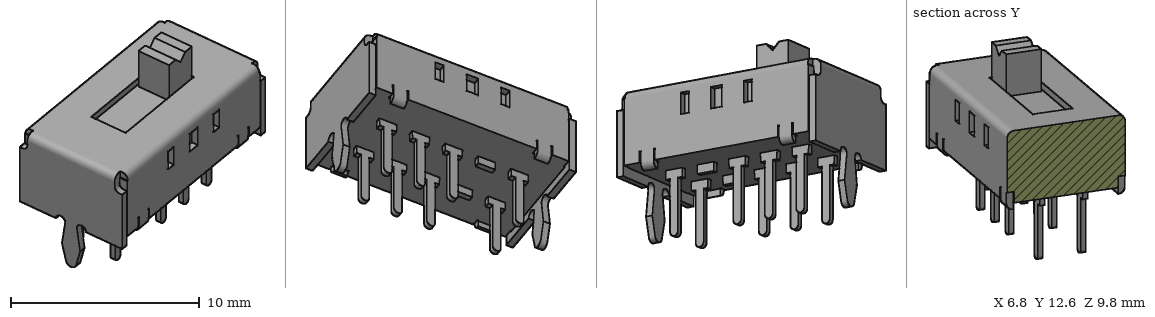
import cadquery as cq


cover_width = 6.8
cover_length = 12.6
cover_height = 4.7
overall_height = 9.8
sheet = 0.4
half_width = cover_width / 2
half_length = cover_length / 2
inner_half_width = half_width - sheet
inner_half_length = half_length - sheet
side_wall_bottom = 0.58

relief_size = 0.5
relief_depth = 1.03
relief_radius = 0.33
wall_gap = 0.05

pitch = 2.0

slot_width = 2.28
slot_length = 6.0
slider_width = 2.03
slider_length = 2.0
slider_height = 1.99
groove_depth = 0.42
slider_y = (slot_length - slider_length) / 2

window_height = 1.2
window_top_gap = 0.67
window_widths = {-pitch: 0.52, 0: 0.72, pitch: 0.52}

tab_width = 0.82
tab_bend_radius = 0.38
tab_y = 4.38
slit_width = 0.08
slit_height = 0.63

scallop_radius = 0.3
peg_neck = 0.39
peg_belly = 0.6
peg_tip = 0.35
belly_z = -1.49
tip_z = -2.48
peg_bottom = -2.81

row_x = 1.23
foot_y = [-2 * pitch, -pitch, 0, pitch, 2 * pitch]
pin_y = [-2 * pitch, 0, pitch, 2 * pitch]
foot_top_width = 1.06
foot_bottom_width = 1.02
foot_bottom = 0.08
pin_width = 0.5
pin_thickness = 0.3
pin_bottom = cover_height + slider_height - overall_height


def block(x0, x1, y0, y1, z0, z1):
    """Box between two corners, given as a range along each axis."""
    return cq.Workplane("XY").box(x1 - x0, y1 - y0, z1 - z0, centered=False).translate((x0, y0, z0))


def mirrored_x(shape):
    return shape.union(shape.mirror("YZ"))


def mirrored_y(shape):
    return shape.union(shape.mirror("XZ"))


def make_housing():
    """Cover and base as one block: rounded top edges, raised side walls, corner reliefs."""
    body = (
        cq.Workplane("XY")
        .rect(cover_width, cover_length)
        .extrude(cover_height)
        .faces(">Z")
        .edges()
        .fillet(sheet)
    )
    body = body.cut(
        cq.Workplane("XY").rect(cover_width, cover_length - 2 * sheet).extrude(side_wall_bottom)
    )

    bend_relief = block(
        half_width - relief_size, half_width,
        half_length - relief_size, half_length,
        cover_height - sheet, cover_height,
    )
    end_wall_relief = (
        block(
            half_width - relief_size, half_width,
            inner_half_length, half_length,
            cover_height - relief_depth, cover_height,
        )
        .edges("|Y and <X and <Z")
        .fillet(relief_radius)
    )
    side_gap = block(
        half_width - relief_size, half_width,
        inner_half_length - wall_gap, inner_half_length,
        0, cover_height - sheet,
    )
    corner = bend_relief.union(end_wall_relief).union(side_gap)
    return body.cut(mirrored_y(mirrored_x(corner)))


def make_slot():
    return (
        cq.Workplane("XY", origin=(0, 0, cover_height - sheet))
        .rect(slot_width, slot_length)
        .extrude(sheet)
    )


def make_slider():
    """Slider knob at the +Y end of its slot, with a 90 degree groove across the top."""
    top = cover_height + slider_height
    half = slider_length / 2
    return (
        cq.Workplane("YZ", origin=(0, slider_y, 0))
        .moveTo(-half, cover_height - sheet)
        .lineTo(half, cover_height - sheet)
        .lineTo(half, top)
        .lineTo(groove_depth, top)
        .lineTo(0, top - groove_depth)
        .lineTo(-groove_depth, top)
        .lineTo(-half, top)
        .close()
        .extrude(slider_width / 2, both=True)
    )


def make_windows():
    top = cover_height - window_top_gap
    windows = cq.Workplane("XY")
    for y, width in window_widths.items():
        windows = windows.union(
            block(-half_width, -inner_half_width, y - width / 2, y + width / 2, top - window_height, top)
        )
    return mirrored_x(windows)


def make_tabs():
    """Tabs curled inwards by a quarter turn below the side walls."""
    inner_edge = tab_bend_radius - half_width
    tab = (
        cq.Workplane("XZ", origin=(0, tab_y + tab_width / 2, 0))
        .moveTo(-half_width, side_wall_bottom)
        .radiusArc((inner_edge, side_wall_bottom - tab_bend_radius), -tab_bend_radius)
        .lineTo(inner_edge, side_wall_bottom)
        .close()
        .extrude(tab_width)
    )
    return mirrored_y(mirrored_x(tab))


def make_tab_slits():
    slits = cq.Workplane("XY")
    slit_offset = (tab_width + slit_width) / 2
    for y in (tab_y - slit_offset, tab_y + slit_offset):
        slits = slits.union(
            block(
                -half_width, -inner_half_width,
                y - slit_width / 2, y + slit_width / 2,
                side_wall_bottom, side_wall_bottom + slit_height,
            )
        )
    return mirrored_y(mirrored_x(slits))


def make_pegs():
    peg = (
        cq.Workplane("XZ", origin=(0, half_length, 0))
        .moveTo(-peg_neck, 0)
        .lineTo(-peg_belly, belly_z)
        .lineTo(-peg_tip, tip_z)
        .threePointArc((0, peg_bottom), (peg_tip, tip_z))
        .lineTo(peg_belly, belly_z)
        .lineTo(peg_neck, 0)
        .close()
        .extrude(sheet)
    )
    return mirrored_y(peg)


def make_scallops():
    """Half-round reliefs on both sides of each peg."""
    scallop_x = peg_neck + scallop_radius
    scallops = (
        cq.Workplane("XZ", origin=(0, half_length, 0))
        .pushPoints([(-scallop_x, 0), (scallop_x, 0)])
        .circle(scallop_radius)
        .extrude(sheet)
    )
    return mirrored_y(scallops)


def make_feet():
    """Tapered shoulders under the base, one at each pin place, as thick as the pins."""
    feet = cq.Workplane("XY")
    for y in foot_y:
        foot = (
            cq.Workplane("YZ", origin=(row_x, y, 0))
            .moveTo(-foot_top_width / 2, side_wall_bottom)
            .lineTo(-foot_bottom_width / 2, foot_bottom)
            .lineTo(foot_bottom_width / 2, foot_bottom)
            .lineTo(foot_top_width / 2, side_wall_bottom)
            .close()
            .extrude(pin_thickness / 2, both=True)
        )
        feet = feet.union(foot)
    return mirrored_x(feet)


def make_pins():
    """Flat pins with fully rounded tips, in two rows."""
    pin_radius = pin_width / 2
    pins = cq.Workplane("XY")
    for y in pin_y:
        pin = (
            cq.Workplane("YZ", origin=(row_x, y, 0))
            .moveTo(-pin_radius, foot_bottom)
            .lineTo(-pin_radius, pin_bottom + pin_radius)
            .threePointArc((0, pin_bottom), (pin_radius, pin_bottom + pin_radius))
            .lineTo(pin_radius, foot_bottom)
            .close()
            .extrude(pin_thickness / 2, both=True)
        )
        pins = pins.union(pin)
    return mirrored_x(pins)


result = (
    make_housing()
    .cut(make_slot())
    .cut(make_windows())
    .cut(make_tab_slits())
    .cut(make_scallops())
    .union(make_pegs())
    .union(make_slider())
    .union(make_tabs())
    .union(make_feet())
    .union(make_pins())
)